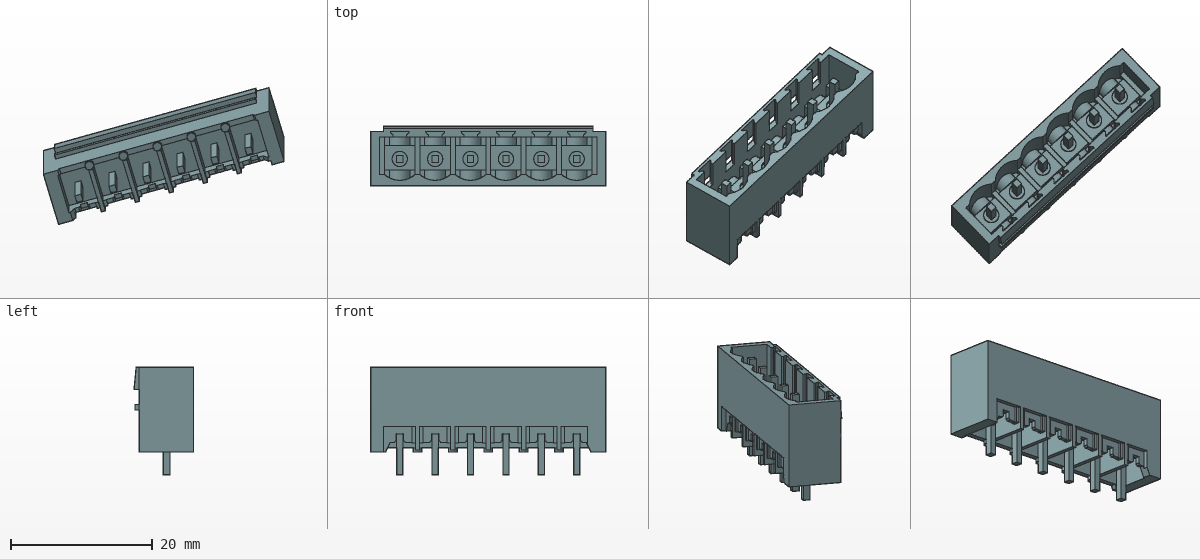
import cadquery as cq


PIN_COUNT = 6
PITCH = 5.0
PIN_XS = [(i - (PIN_COUNT - 1) / 2) * PITCH for i in range(PIN_COUNT)]
WEB_XS = [x + PITCH / 2 for x in PIN_XS[:-1]]

LENGTH = 33.2
DEPTH = 7.7
HEIGHT = 12.0
PIN_Y = 3.8
HALF_LENGTH = LENGTH / 2

END_WALL = 1.25
FRONT_WALL = 1.6
BACK_WALL = 0.8
CAVITY_BACK_Y = DEPTH - BACK_WALL
BAR_TOP = 6.2
CELL_FLOOR = 4.2
CELL_WIDTH = 4.3
SCALLOP_DEPTH = 0.82
HUMP_RADIUS = 1.475
PEDESTAL_DEPTH = 3.4
PEDESTAL_CENTRE_Y = 3.97
PEDESTAL_TOP = 6.0
RECESS_DIAMETER = 2.15
RECESS_DEPTH = 0.3

KEYWAY_BOTTOM = 7.85
KEYWAY_NECK = 1.9
KEYWAY_WIDE = 2.6
KEYWAY_NECK_DEPTH = 0.28
KEYWAY_FLARE_DEPTH = 0.6

LEDGE_LENGTH = 29.6
LEDGE_BOTTOM = HEIGHT - 3.15
LEDGE_REACH = 0.73
LEDGE_TOP_REACH = 0.43
RAIL_BOTTOM = 5.95
RAIL_HEIGHT = 0.8
RAIL_REACH = 0.6

CEILING = 3.6
OPENING_LEFT = -14.8
OPENING_RIGHT = 14.0
SKIRT_FRONT_Y = 0.65
SKIRT_BACK_Y = 1.25
SKIRT_BOTTOM = 1.4
FOOT_INSET_BOTTOM = 2.1
FOOT_INSET_TOP = 2.75
BACK_WALL_BOTTOM = 0.6
WEB_THICKNESS = 0.6
WEB_BOTTOM = 0.3
SHOULDER_WIDTH = 1.6
SHOULDER_FRONT_Y = 0.35
SHOULDER_BOTTOM = 1.3
STANDOFF_DIAMETER = 1.25

NOTCH_WIDTH = 1.05
NOTCH_TOP = 2.6
NOTCH_LEAD_IN = 0.25

PIN_WIDTH = 0.9
PIN_THICKNESS = 1.0
PIN_TOP = 10.95
PIN_BOTTOM = -3.2


def block(x_range, y_range, z_range):
    """Box spanning the given (low, high) range on each axis."""
    lows = [r[0] for r in (x_range, y_range, z_range)]
    sizes = [r[1] - r[0] for r in (x_range, y_range, z_range)]
    return cq.Workplane("XY").box(*sizes, centered=False).translate(tuple(lows))


def span(centre, width):
    """Range of the given width about a centre."""
    return (centre - width / 2, centre + width / 2)


def extrude_y(points, y_range):
    """Closed X-Z outline extruded over a range of Y."""
    sketch = cq.Workplane("XZ", origin=(0, y_range[0], 0)).polyline(points).close()
    return sketch.extrude(y_range[0] - y_range[1])


def cell_pocket(x):
    """Pocket below the bar tops, with a scalloped front that runs up to the rim."""
    floor = block(span(x, CELL_WIDTH), (FRONT_WALL, CAVITY_BACK_Y), (CELL_FLOOR, BAR_TOP))
    scallop = (
        cq.Workplane("XY", origin=(x, FRONT_WALL, CELL_FLOOR))
        .moveTo(-CELL_WIDTH / 2, 0)
        .threePointArc((0, -SCALLOP_DEPTH), (CELL_WIDTH / 2, 0))
        .close()
        .extrude(HEIGHT - CELL_FLOOR)
    )
    return floor.union(scallop)


def cell_hump(x):
    """Half-round rib lying along Y on the cell floor, trimmed to the cell."""
    rib = (
        cq.Workplane("XZ", origin=(x, 0, CELL_FLOOR))
        .moveTo(-HUMP_RADIUS, 0)
        .threePointArc((0, HUMP_RADIUS), (HUMP_RADIUS, 0))
        .close()
        .extrude(-CAVITY_BACK_Y)
    )
    return rib.intersect(cell_pocket(x))


def cell_pedestal(x):
    """Block that carries the pin, with a round recess in its top."""
    pedestal = block(
        span(x, CELL_WIDTH), span(PEDESTAL_CENTRE_Y, PEDESTAL_DEPTH), (CELL_FLOOR, PEDESTAL_TOP)
    )
    recess = (
        cq.Workplane("XY", origin=(x, PIN_Y, PEDESTAL_TOP - RECESS_DEPTH))
        .circle(RECESS_DIAMETER / 2)
        .extrude(RECESS_DEPTH)
    )
    return pedestal.cut(recess)


def keyway(x):
    """Dovetail slot through the back wall, open at the top."""
    flare_start = CAVITY_BACK_Y + KEYWAY_NECK_DEPTH
    flare_end = CAVITY_BACK_Y + KEYWAY_FLARE_DEPTH
    right_side = [
        (KEYWAY_NECK / 2, CAVITY_BACK_Y),
        (KEYWAY_NECK / 2, flare_start),
        (KEYWAY_WIDE / 2, flare_end),
        (KEYWAY_WIDE / 2, DEPTH),
    ]
    left_side = [(-px, py) for px, py in reversed(right_side)]
    return (
        cq.Workplane("XY", origin=(x, 0, KEYWAY_BOTTOM))
        .polyline(right_side + left_side)
        .close()
        .extrude(HEIGHT - KEYWAY_BOTTOM)
    )


def latch_ledge():
    """Wedge along the top of the back face, deepest at its lower edge."""
    return (
        cq.Workplane("YZ", origin=(-LEDGE_LENGTH / 2, 0, 0))
        .polyline([
            (DEPTH, LEDGE_BOTTOM),
            (DEPTH + LEDGE_REACH, LEDGE_BOTTOM),
            (DEPTH + LEDGE_TOP_REACH, HEIGHT),
            (DEPTH, HEIGHT),
        ])
        .close()
        .extrude(LEDGE_LENGTH)
    )


def back_rail():
    """Small square rail along the back face below the keyways."""
    return block(
        span(0, LEDGE_LENGTH), (DEPTH, DEPTH + RAIL_REACH), (RAIL_BOTTOM, RAIL_BOTTOM + RAIL_HEIGHT)
    )


def gap_between_feet(top, y_range):
    """Space between the sloped end feet, from the seating plane up to a height."""
    slope = (FOOT_INSET_TOP - FOOT_INSET_BOTTOM) / SKIRT_BOTTOM
    low_x = HALF_LENGTH - FOOT_INSET_BOTTOM
    high_x = low_x - slope * top
    outline = [(-low_x, 0), (low_x, 0), (high_x, top), (-high_x, top)]
    return extrude_y(outline, y_range)


def skirt_notch(x):
    """Slot with a flared mouth through the skirt in front of a pin."""
    half = NOTCH_WIDTH / 2
    mouth = half + NOTCH_LEAD_IN
    outline = [
        (x - mouth, SKIRT_BOTTOM),
        (x + mouth, SKIRT_BOTTOM),
        (x + half, SKIRT_BOTTOM + NOTCH_LEAD_IN),
        (x + half, NOTCH_TOP),
        (x - half, NOTCH_TOP),
        (x - half, SKIRT_BOTTOM + NOTCH_LEAD_IN),
    ]
    return extrude_y(outline, (SKIRT_FRONT_Y, SKIRT_BACK_Y))


def hollow_underside(body):
    """Clear the space below the cell floors, leaving the skirt and the end feet."""
    body = body.cut(block((OPENING_LEFT, OPENING_RIGHT), (0, SKIRT_FRONT_Y), (0, CEILING)))
    body = body.cut(gap_between_feet(SKIRT_BOTTOM, (0, SKIRT_BACK_Y)))
    body = body.cut(gap_between_feet(BACK_WALL_BOTTOM, (0, DEPTH)))
    hollow_length = PITCH * PIN_COUNT - WEB_THICKNESS
    body = body.cut(block(span(0, hollow_length), (SKIRT_BACK_Y, CAVITY_BACK_Y), (0, CEILING)))
    for x in PIN_XS:
        body = body.cut(skirt_notch(x))
    return body


def dividing_web(x):
    """Web between neighbouring pins, with a shoulder at the skirt and a rear standoff."""
    web = block(span(x, WEB_THICKNESS), (0, CAVITY_BACK_Y), (WEB_BOTTOM, CEILING))
    shoulder = block(
        span(x, SHOULDER_WIDTH), (SHOULDER_FRONT_Y, SKIRT_BACK_Y), (SHOULDER_BOTTOM, CEILING)
    )
    standoff = (
        cq.Workplane("XY", origin=(x, DEPTH - STANDOFF_DIAMETER / 2, 0))
        .circle(STANDOFF_DIAMETER / 2)
        .extrude(BACK_WALL_BOTTOM)
    )
    return web.union(shoulder).union(standoff)


def make_pin(x):
    """Straight rectangular pin through the floor of one cell."""
    return block(span(x, PIN_WIDTH), span(PIN_Y, PIN_THICKNESS), (PIN_BOTTOM, PIN_TOP))


def make_housing():
    """Housing with its cells, keyways, underside and pin holes."""
    body = block((-HALF_LENGTH, HALF_LENGTH), (0, DEPTH), (0, HEIGHT))
    body = body.cut(
        block(span(0, LENGTH - 2 * END_WALL), (FRONT_WALL, CAVITY_BACK_Y), (BAR_TOP, HEIGHT))
    )
    for x in PIN_XS:
        body = body.cut(cell_pocket(x))
        body = body.union(cell_hump(x)).union(cell_pedestal(x))
        body = body.cut(keyway(x))
    body = body.union(latch_ledge()).union(back_rail())

    body = hollow_underside(body)
    for x in WEB_XS:
        body = body.union(dividing_web(x))
    for x in PIN_XS:
        body = body.cut(make_pin(x))
    return body


housing = make_housing()
pins = [make_pin(x) for x in PIN_XS]

result = cq.Compound.makeCompound([housing.solids().val(), *[pin.val() for pin in pins]])